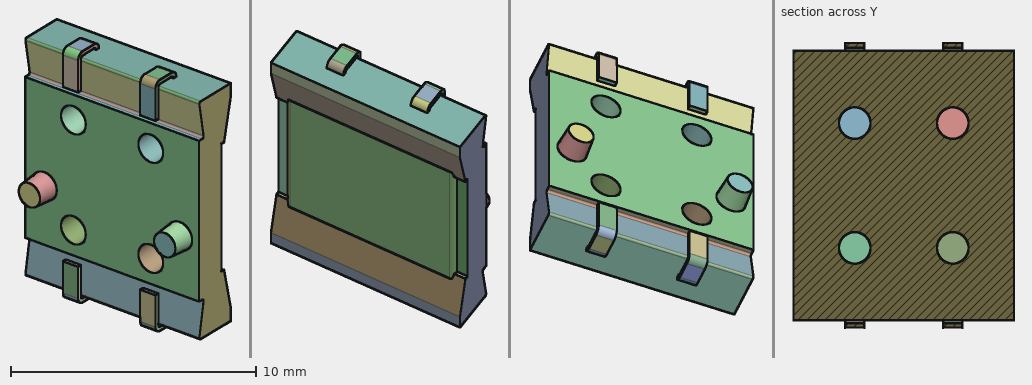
import cadquery as cq
import math

body_width = 8.99
body_height = 11.0
body_depth = 2.1

plateau_half_height = 3.72
groove_slope = 10
corner_radius = 0.09

back_land_half_height = 4.85
recess_half_height = 2.95
recess_floor_y = 1.5
back_slope = 13

pad_height = 0.25
pad_half_height = 3.25
pad_edge_radius = 0.21
pad_side_inset = 0.5

hole_radius = 0.64
hole_x = 2.0
hole_z = 2.54
hole_depth = recess_floor_y

peg_length = 1.0
peg_base_radius = 0.64
peg_taper = 5
peg_x = 3.5
peg_z = -1.0

overall_height = 11.61
lead_width = 0.79
lead_thickness = 0.2
lead_tip_z = 4.03
lead_x = hole_x
rear_bend_y = 0.88

half_height = body_height / 2
bend_outer_radius = (overall_height - body_height) / 2
bend_inner_radius = bend_outer_radius - lead_thickness


def extrude_along_x(outline, width, center_x=0):
    """Extrude a closed YZ outline by width, centred on center_x."""
    return outline.extrude(width / 2, both=True).translate((center_x, 0, 0))


def make_body():
    """Symmetric profile with sloped front grooves and a recessed back."""
    groove_depth = (half_height - plateau_half_height) * math.tan(math.radians(groove_slope))
    slope_run = back_land_half_height - recess_half_height
    slope_end_y = body_depth - slope_run * math.tan(math.radians(back_slope))
    upper_half = [
        (0, plateau_half_height),
        (groove_depth, plateau_half_height),
        (0, half_height),
        (body_depth, half_height),
        (body_depth, back_land_half_height),
        (slope_end_y, recess_half_height),
        (recess_floor_y, recess_half_height),
    ]
    lower_half = [(y, -z) for y, z in reversed(upper_half)]
    outline = cq.Workplane("YZ").polyline(upper_half + lower_half).close()
    body = extrude_along_x(outline, body_width)
    for side in (1, -1):
        for y, z in ((groove_depth, plateau_half_height), (0, half_height)):
            body = body.edges(cq.selectors.NearestToPointSelector((0, y, side * z))).fillet(corner_radius)
    return body


def make_pad():
    """Plate on the recess floor with its long back edges rounded."""
    pad_width = body_width - 2 * pad_side_inset
    pad = cq.Workplane("XY").box(pad_width, pad_height, 2 * pad_half_height, centered=(True, False, True))
    pad = pad.faces(">Y").edges("|Z").fillet(pad_edge_radius)
    return pad.translate((0, recess_floor_y, 0))


def make_holes():
    """Four cylinders that run from the mounting face toward the back."""
    centers = [(x, z) for x in (-hole_x, hole_x) for z in (-hole_z, hole_z)]
    return cq.Workplane("XZ").pushPoints(centers).circle(hole_radius).extrude(-hole_depth)


def make_pegs():
    """Two tapered pegs that stand out of the mounting face toward -Y."""
    centers = [(-peg_x, peg_z), (peg_x, peg_z)]
    return cq.Workplane("XZ").pushPoints(centers).circle(peg_base_radius).extrude(peg_length, taper=peg_taper)


def make_upper_lead(center_x):
    """Strip that leaves the top face, bends forward and then hangs in front of the groove."""
    front_bend_y = bend_inner_radius
    inner_z = half_height + bend_inner_radius
    outer_z = half_height + bend_outer_radius
    inner_diagonal = bend_inner_radius * math.sqrt(0.5)
    outer_diagonal = bend_outer_radius * math.sqrt(0.5)
    outline = (
        cq.Workplane("YZ")
        .moveTo(0, lead_tip_z)
        .lineTo(0, half_height)
        .threePointArc((front_bend_y - inner_diagonal, half_height + inner_diagonal), (front_bend_y, inner_z))
        .lineTo(rear_bend_y, inner_z)
        .threePointArc(
            (rear_bend_y + inner_diagonal, half_height + inner_diagonal),
            (rear_bend_y + bend_inner_radius, half_height),
        )
        .lineTo(rear_bend_y + bend_outer_radius, half_height)
        .threePointArc((rear_bend_y + outer_diagonal, half_height + outer_diagonal), (rear_bend_y, outer_z))
        .lineTo(front_bend_y, outer_z)
        .threePointArc(
            (front_bend_y - outer_diagonal, half_height + outer_diagonal),
            (-lead_thickness, half_height),
        )
        .lineTo(-lead_thickness, lead_tip_z)
        .close()
    )
    return extrude_along_x(outline, lead_width, center_x)


result = make_body().union(make_pad()).cut(make_holes()).union(make_pegs())
for x in (-lead_x, lead_x):
    upper_lead = make_upper_lead(x)
    result = result.union(upper_lead).union(upper_lead.mirror("XY"))